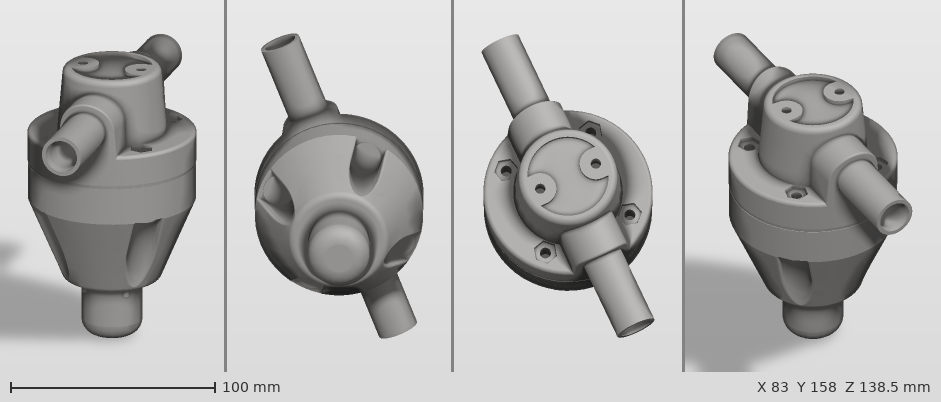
import cadquery as cq
import math

tip_round = 8.0
key_bottom_z = 23.7
cone_bottom_z = 29.0
cone_top_z = 70.8
flute_top_z = 71.3
gasket_bottom_z = 89.0
flange_bottom_z = 90.8
flange_top_z = 106.0
pipe_axis_z = 118.3
top_z = 138.5

tip_radius = 15.0
cone_bottom_radius = 23.5
body_radius = 41.2
gasket_radius = 41.0
flange_diameter = 83.0
flange_radius = flange_diameter / 2
neck_base_radius = 26.9
neck_top_radius = 24.0
cone_fillet = 3.6
flange_fillet = 1.9
neck_fillet = 3.0

pipe_length = 158.0
pipe_diameter = 20.0
bore_radius = 8.0
bore_depth = pipe_length / 2 - flange_radius
saddle_radius = 14.0
saddle_draft = math.radians(4)
saddle_fillet = 1.0

recess_radius = 19.9
recess_depth = 2.5
land_x = 15.0
land_radius = 7.9
land_hole_radius = 2.5
land_hole_depth = 9.5

screw_circle_radius = 32.2
hexagon_corner_radius = 6.0
hexagon_depth = 2.0
hexagon_turn = 30
hexagon_draft = 8
screw_hole_radius = 2.7
flute_radius = 7.7
flute_edge_fillet = 1.0
washer_radius = 7.6
washer_thickness = 1.5
corner_angles = [45, 135, 225, 315]

key_radius = 1.7
key_circle_radius = 14.7
key_angles = [225, 315]

z_axis = ((0, 0, 0), (0, 0, 1))


def cylinder(radius, bottom_z, height, x=0, y=0):
    return cq.Workplane("XY").workplane(offset=bottom_z).center(x, y).circle(radius).extrude(height)


def cone(bottom_radius, top_radius, bottom_z, height):
    solid = cq.Solid.makeCone(bottom_radius, top_radius, height, cq.Vector(0, 0, bottom_z))
    return cq.Workplane("XY").add(solid)


def make_flute(angle):
    """U-shaped cutter: round towards the axis, open outwards."""
    bottom_z = cone_bottom_z - cone_fillet
    height = flute_top_z - bottom_z
    round_end = cylinder(flute_radius, bottom_z, height, screw_circle_radius)
    opening = (
        cq.Workplane("XY")
        .box(body_radius, 2 * flute_radius, height, centered=(False, True, False))
        .translate((screw_circle_radius, 0, bottom_z))
    )
    return round_end.union(opening).rotate(*z_axis, angle)


def make_lower_body():
    """Fluted cone below a plain round band."""
    tapered = cone(cone_bottom_radius, body_radius, cone_bottom_z, cone_top_z - cone_bottom_z)
    tapered = tapered.faces("<Z").edges().fillet(cone_fillet)
    band = cylinder(body_radius, cone_top_z, gasket_bottom_z - cone_top_z)
    gasket = cylinder(gasket_radius, gasket_bottom_z, flange_bottom_z - gasket_bottom_z)
    for angle in corner_angles:
        flute = make_flute(angle)
        tapered = tapered.cut(flute)
        band = band.cut(flute)
    tapered = tapered.edges("%BSPLINE or %HYPERBOLA").fillet(flute_edge_fillet)
    return tapered.union(band).union(gasket)


def make_tip():
    tip = cylinder(tip_radius, 0, cone_bottom_z).faces("<Z").edges().fillet(tip_round)
    for angle in key_angles:
        x = key_circle_radius * math.cos(math.radians(angle))
        y = key_circle_radius * math.sin(math.radians(angle))
        tip = tip.union(cylinder(key_radius, key_bottom_z, cone_bottom_z - key_bottom_z, x, y))
    return tip


def make_flange():
    flange = cylinder(flange_radius, flange_bottom_z, flange_top_z - flange_bottom_z)
    return flange.faces(">Z").edges().fillet(flange_fillet)


def make_saddle():
    """Arched block with drafted sides, trimmed to the flange outline."""
    tangent_x = saddle_radius * math.cos(saddle_draft)
    tangent_z = pipe_axis_z + saddle_radius * math.sin(saddle_draft)
    base_z = flange_bottom_z
    base_x = tangent_x + (tangent_z - base_z) * math.tan(saddle_draft)
    saddle = (
        cq.Workplane("XZ")
        .moveTo(-base_x, base_z)
        .lineTo(-tangent_x, tangent_z)
        .threePointArc((0, pipe_axis_z + saddle_radius), (tangent_x, tangent_z))
        .lineTo(base_x, base_z)
        .close()
        .extrude(pipe_length / 2, both=True)
    )
    saddle = saddle.intersect(cylinder(flange_radius, base_z, top_z - base_z))
    end_edges = saddle.faces("<Y or >Y").edges("not <Z")
    return end_edges.fillet(saddle_fillet)


def make_neck():
    neck = cone(neck_base_radius, neck_top_radius, flange_top_z, top_z - flange_top_z)
    return neck.faces(">Z").edges().fillet(neck_fillet)


def make_pipe():
    """Straight bar along Y; its bores are cut once everything is joined."""
    return cq.Workplane("XZ").center(0, pipe_axis_z).circle(pipe_diameter / 2).extrude(pipe_length / 2, both=True)


def make_pipe_bore(side):
    """Blind bore from the pipe end on the given side (+1 or -1 along Y)."""
    pipe_end = cq.Workplane("XZ", origin=(0, side * pipe_length / 2, pipe_axis_z))
    return pipe_end.circle(bore_radius).extrude(side * bore_depth)


def make_top_recess():
    """Shallow round recess that leaves two lands, plus a blind hole in each land."""
    floor_z = top_z - recess_depth
    recess = cylinder(recess_radius, floor_z, recess_depth)
    holes = cq.Workplane("XY")
    for side in (1, -1):
        land_end = cylinder(land_radius, floor_z, recess_depth, side * land_x)
        land_root = (
            cq.Workplane("XY")
            .box(land_radius, 2 * land_radius, recess_depth, centered=(True, True, False))
            .translate((side * (land_x + land_radius / 2), 0, floor_z))
        )
        recess = recess.cut(land_end).cut(land_root)
        holes = holes.add(cylinder(land_hole_radius, top_z - land_hole_depth, land_hole_depth, side * land_x))
    return recess.union(holes)


def make_screw_pocket(angle):
    """Hexagon pocket with a flat facing outwards, and the blind hole below it."""
    pocket = (
        cq.Workplane("XY")
        .workplane(offset=flange_top_z)
        .polygon(6, 2 * hexagon_corner_radius)
        .extrude(-hexagon_depth, taper=hexagon_draft)
        .rotate(*z_axis, hexagon_turn)
        .translate((screw_circle_radius, 0, 0))
    )
    hole = cylinder(screw_hole_radius, flange_bottom_z, flange_top_z - flange_bottom_z, screw_circle_radius)
    return pocket.union(hole).rotate(*z_axis, angle)


def make_washer(angle):
    """Thin round pad under the ceiling of a flute."""
    pad = cylinder(washer_radius, flute_top_z - washer_thickness, washer_thickness, screw_circle_radius)
    return pad.rotate(*z_axis, angle)


result = make_lower_body()
for part in (make_tip(), make_flange(), make_saddle(), make_neck(), make_pipe()):
    result = result.union(part)

for corner in corner_angles:
    result = result.union(make_washer(corner)).cut(make_screw_pocket(corner))

for pipe_side in (1, -1):
    result = result.cut(make_pipe_bore(pipe_side))

result = result.cut(make_top_recess())